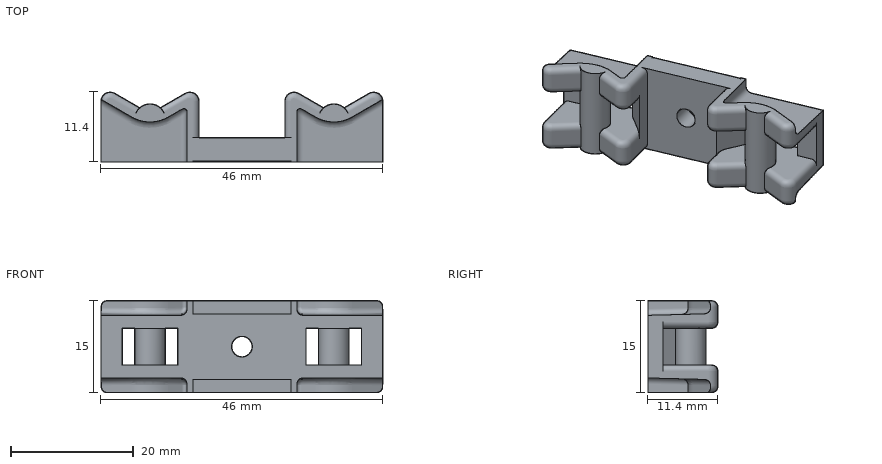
import cadquery as cq
import math

LENGTH = 46.0
HEIGHT = 11.4
WIDTH = 15.0

SADDLE_FLOOR = 2.5
BRIDGE_THICKNESS = 4.0
SCREW_HOLE_DIAMETER = 3.3

RAIL_LENGTH = 16.0
GAP_WIDTH = 6.0
RAIL_SLOPE = math.radians(30)
PEAK_RADIUS = 1.5
RAIL_EDGE_RADIUS = 1.0

PIN_DIAMETER = 5.0
PIN_AXIS_HEIGHT = 7.0
OPENING_LENGTH = 9.0

SKIN_THICKNESS = 2.0
POCKET_DEPTH = 2.4
POCKET_DRAFT = math.radians(1.5)
POCKET_ARC_RADIUS = 6.0
POCKET_FLOOR_RADIUS = 1.0
POCKET_PEAK_RADIUS = 0.5

LABEL_WIDTH = 2.15
LABEL_DEPTH = 0.2

CLEARANCE = 4.6

outer_x = -LENGTH / 2
inner_x = outer_x + RAIL_LENGTH
saddle_x = (outer_x + inner_x) / 2
opening_inner_x = saddle_x + OPENING_LENGTH / 2
rail_thickness = (WIDTH - GAP_WIDTH) / 2

bridge_length = 2 * (RAIL_EDGE_RADIUS - inner_x)

peak_to_corner = PEAK_RADIUS * (math.tan(RAIL_SLOPE) + 1 / math.cos(RAIL_SLOPE) - 1)
corner_height = HEIGHT + peak_to_corner
valley_height = corner_height - RAIL_LENGTH / 2 * math.tan(RAIL_SLOPE)


def box(x_min, x_max, y_min, y_max, z_min, z_max):
    size = (x_max - x_min, y_max - y_min, z_max - z_min)
    return cq.Workplane("XY").box(*size, centered=False).translate((x_min, y_min, z_min))


def rail():
    """V-shaped rail on the +Z side of the left saddle, with rounded peaks and edges."""
    profile = [
        (outer_x, 0),
        (outer_x, corner_height),
        (saddle_x, valley_height),
        (inner_x, corner_height),
        (inner_x, 0),
    ]
    body = cq.Workplane("XY", origin=(0, 0, GAP_WIDTH / 2)).polyline(profile).close().extrude(rail_thickness)
    body = body.edges("|Z and >Y").fillet(PEAK_RADIUS)
    return body.faces("<Z or >Z").edges("not <Y").fillet(RAIL_EDGE_RADIUS)


def rail_pocket():
    """Cutting body for the outer rail pocket, following the V at a constant skin thickness."""
    slope = math.tan(RAIL_SLOPE)
    wall_x = inner_x - SKIN_THICKNESS
    valley_y = valley_height - SKIN_THICKNESS / math.cos(RAIL_SLOPE)
    peak_y = valley_y + (wall_x - saddle_x) * slope
    arc_half = POCKET_ARC_RADIUS * math.sin(RAIL_SLOPE)
    arc_end_y = valley_y + arc_half * slope
    arc_bottom_y = arc_end_y - POCKET_ARC_RADIUS * (1 - math.cos(RAIL_SLOPE))
    start_x = outer_x - CLEARANCE

    outline = (
        cq.Workplane("XY", origin=(0, 0, GAP_WIDTH / 2))
        .moveTo(start_x, -CLEARANCE)
        .lineTo(start_x, valley_y + (saddle_x - start_x) * slope)
        .lineTo(saddle_x - arc_half, arc_end_y)
        .threePointArc((saddle_x, arc_bottom_y), (saddle_x + arc_half, arc_end_y))
        .lineTo(wall_x, peak_y)
        .lineTo(wall_x, -CLEARANCE)
        .close()
        .extrude(rail_thickness + CLEARANCE)
    )
    peak_edge = cq.selectors.NearestToPointSelector((wall_x, peak_y, WIDTH / 2))
    outline = outline.edges(peak_edge).fillet(POCKET_PEAK_RADIUS)

    floor_z = WIDTH / 2 - POCKET_DEPTH
    floor_rise = math.tan(POCKET_DRAFT)
    top_y = HEIGHT + CLEARANCE
    drafted_section = [
        (-CLEARANCE, floor_z - CLEARANCE * floor_rise),
        (top_y, floor_z + top_y * floor_rise),
        (top_y, WIDTH),
        (-CLEARANCE, WIDTH),
    ]
    drafted = (
        cq.Workplane("YZ", origin=(start_x, 0, 0))
        .polyline(drafted_section)
        .close()
        .extrude(wall_x - start_x)
    )
    pocket = outline.intersect(drafted)
    return pocket.faces("<Z").edges("not (<X or <Y)").fillet(POCKET_FLOOR_RADIUS)


def pin():
    """Round bar across the saddle, flush with both outer rail faces."""
    return (
        cq.Workplane("XY", origin=(saddle_x, PIN_AXIS_HEIGHT, -WIDTH / 2))
        .circle(PIN_DIAMETER / 2)
        .extrude(WIDTH)
    )


def tie_ramp():
    """Ramp between the rails that leads from the opening up to the inner rail ends."""
    profile = [
        (opening_inner_x, 0),
        (opening_inner_x, SADDLE_FLOOR),
        (inner_x, PIN_AXIS_HEIGHT),
        (inner_x, 0),
    ]
    ramp_width = GAP_WIDTH + 2 * RAIL_EDGE_RADIUS
    return cq.Workplane("XY").polyline(profile).close().extrude(ramp_width / 2, both=True)


def tie_opening():
    """Rectangular window through the saddle floor, as wide as the gap."""
    half = OPENING_LENGTH / 2
    return box(
        saddle_x - half, saddle_x + half,
        -CLEARANCE, SADDLE_FLOOR,
        -GAP_WIDTH / 2, GAP_WIDTH / 2,
    )


def both_sides(body):
    return body.union(body.mirror("XY"))


def both_ends(body):
    return body.union(body.mirror("YZ"))


base = box(outer_x, -outer_x, 0, SADDLE_FLOOR, -WIDTH / 2, WIDTH / 2)
bridge = box(-bridge_length / 2, bridge_length / 2, 0, BRIDGE_THICKNESS, -WIDTH / 2, WIDTH / 2)
result = base.union(bridge)

saddle = both_sides(rail()).union(tie_ramp()).union(pin())
result = result.union(both_ends(saddle))
pockets = both_sides(rail_pocket())
result = result.cut(both_ends(pockets.union(tie_opening())))

screw_hole = cq.Workplane("XZ").circle(SCREW_HOLE_DIAMETER / 2).extrude(-BRIDGE_THICKNESS)
result = result.cut(screw_hole)

label = box(
    -bridge_length / 2, bridge_length / 2,
    0, LABEL_DEPTH,
    WIDTH / 2 - LABEL_WIDTH, WIDTH / 2,
)
result = result.cut(both_sides(label))